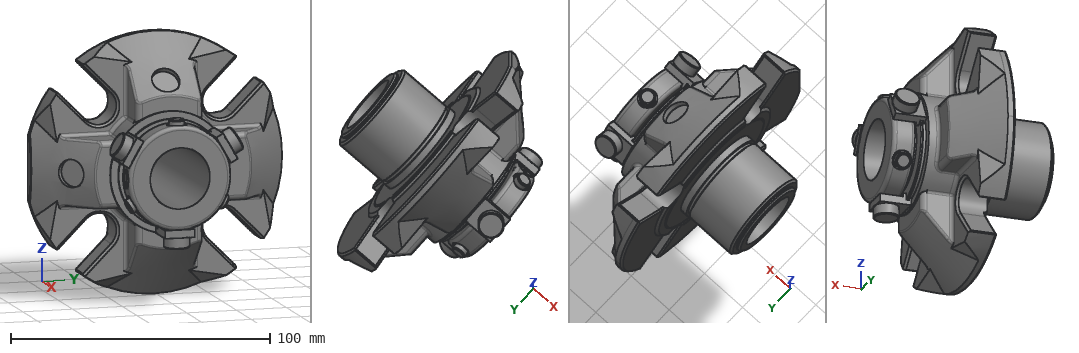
import cadquery as cq
import math


bore_d = 24.0
sleeve_nose_d = 32.18
sleeve_nose_len = 1.5
nose_chamfer = 0.8
sleeve_d = 37.97
sleeve_end_x = 23.4
sleeve_chamfer = 0.9
neck_d = 36.17
neck_end_x = 24.9
shoulder_d = 38.61

face_x = 27.8
face_disc_d = 54.97
gasket_inner_d = 56.2
gasket_x = 28.05
gasket_d = 63.0
gasket_base_d = 65.5
flange_back_x = 29.05
flange_d = 103.12
flange_r = flange_d / 2
rim_chamfer = 0.8
cone_start_x = 32.25
pad_x = 40.8
flat_y = -50.0
flat_front_chamfer = 0.4

slot_width = 14.3
slot_offset_angle = 45
slot_center_r = (face_disc_d + slot_width) / 2
slot_back_chamfer = 0.7
slot_front_chamfer = 1.0
slot_rim_chamfer = 0.5

relief_tilt = 10.3
relief_start_r = 43.84
relief_end_r = 38.72
relief_slope = (relief_start_r - relief_end_r) / (pad_x - cone_start_x)

hub_d = 48.0
hub_end_x = 54.5
lobe_half_width = 13.4
lobe_end_x = 53.8
lobe_angles = (0, 90, 180, -90)
short_lobe_end_x = 50.1
short_lobe_angle = -90
lobe_front_fillet = 2.3
lobe_edge_fillet = 1.1
root_fillet = 1.3
base_fillet = 1.5
port_d = 11.0
port_depth = 2.2
top_port_x = 48.7
front_port_x = 46.4
front_port_angle = 90

spigot_d = 41.6
spigot_end_x = 55.95
snap_ring_d = 42.75
snap_ring_end_x = 56.8
seal_ring_d = 32.91
seal_ring_end_x = 58.05
inner_sleeve_d = 25.98
collar_start_x = 58.5
collar_end_x = 68.0
collar_d = 41.22
collar_fillet = 1.6

clip_angles = (60, -60, 180)
clip_width = 11.8
clip_start_x = 55.1
clip_end_x = 67.9
clip_inner_r = 20.24
clip_outer_r = 23.4
hook_inner_r = 18.84
hook_start_x = 57.1
hook_end_x = 58.4
clip_groove_r = 21.4
bolt_d = 10.0
bolt_x = 63.2
bolt_top_r = 27.8
bolt_chamfer = 0.4

screw_angles = (0, 120, -120)
locking_screw_angle = 90
screw_x = 63.3
screw_d = 6.0
screw_pocket_d = 7.6
screw_pocket_r = 19.6
screw_top_r = 22.5
screw_chamfer = 0.5
locking_screw_top_r = 20.2
driver_slot_width = 0.95
driver_slot_depth = 0.6

reach = 2 * flange_r
margin = 1.0
tolerance = 1e-3


def about_axis(shape, angle):
    return shape.rotate((0, 0, 0), (1, 0, 0), angle)


def turned(points):
    """Revolve an (x, radius) outline about the shaft axis."""
    return cq.Workplane("XY").polyline(points).close().revolve(360, (0, 0, 0), (1, 0, 0))


def ring(diameter, x_start, x_end):
    return cq.Workplane("YZ").workplane(offset=x_start).circle(diameter / 2).extrude(x_end - x_start)


def block(x_start, x_end, width, r_inner, r_outer):
    size = (x_end - x_start, width, r_outer - r_inner)
    return cq.Workplane("XY").box(*size, centered=(False, True, False)).translate((x_start, 0, r_inner))


def radial_pin(x, diameter, r_inner, r_outer):
    base = cq.Workplane("XY").workplane(offset=r_inner).center(x, 0)
    return base.circle(diameter / 2).extrude(r_outer - r_inner)


def cone_radius(x):
    """Radius of the 45 degree cone at x."""
    return flange_r + cone_start_x - x


def make_sleeve():
    """Sleeve, shoulder and the stepped gasket face on the back of the flange."""
    nose_r = sleeve_nose_d / 2
    sleeve_r = sleeve_d / 2
    return turned([
        (0, 0),
        (0, nose_r - nose_chamfer),
        (nose_chamfer, nose_r),
        (sleeve_nose_len, nose_r),
        (sleeve_nose_len, sleeve_r - sleeve_chamfer),
        (sleeve_nose_len + sleeve_chamfer, sleeve_r),
        (sleeve_end_x, sleeve_r),
        (sleeve_end_x, neck_d / 2),
        (neck_end_x, neck_d / 2),
        (neck_end_x, shoulder_d / 2),
        (face_x, shoulder_d / 2),
        (face_x, face_disc_d / 2),
        (gasket_x, gasket_inner_d / 2),
        (gasket_x, gasket_d / 2),
        (flange_back_x, gasket_base_d / 2),
        (flange_back_x, 0),
    ])


def make_cone_stock():
    """Flange disc and full 45 degree cone from which the lobes are cut."""
    return turned([
        (flange_back_x, 0),
        (flange_back_x, flange_r - rim_chamfer),
        (flange_back_x + rim_chamfer, flange_r),
        (cone_start_x, flange_r),
        (lobe_end_x, cone_radius(lobe_end_x)),
        (lobe_end_x, 0),
    ])


def make_ears():
    """Flange rim beside the slots, bounded by two tilted relief planes per lobe."""
    start_x = cone_start_x - margin
    end_x = pad_x + margin
    above_plane = (
        cq.Workplane("XZ")
        .polyline([
            (start_x, relief_start_r + relief_slope * margin),
            (end_x, relief_end_r - relief_slope * margin),
            (end_x, reach),
            (start_x, reach),
        ])
        .close()
        .extrude(reach, both=True)
    )
    relief = about_axis(above_plane, relief_tilt).intersect(about_axis(above_plane, -relief_tilt))
    ears = ring(flange_d, cone_start_x, pad_x)
    for angle in lobe_angles:
        ears = ears.cut(about_axis(relief, angle))
    return ears


def make_lobe_gap():
    """Cutter for the space between two lobes, rounded where it meets the hub and flange."""
    gap = (
        cq.Workplane("XY").box(reach, reach, reach, centered=False)
        .translate((pad_x, lobe_half_width, lobe_half_width))
        .cut(ring(hub_d, pad_x, pad_x + reach))
    )
    near_hub = cq.selectors.BoxSelector((pad_x, 0, 0), (pad_x + reach, hub_d / 2, hub_d / 2))
    gap = gap.edges("|X").edges(near_hub).fillet(root_fillet)
    near_lobes = cq.selectors.BoxSelector((pad_x - margin, 0, 0), (pad_x + margin, reach, reach))
    return gap.faces("<X").edges(near_lobes).fillet(base_fillet)


def make_lobe_front_cut(end_x):
    """Cutter that ends a lobe at end_x, outside the hub, and rounds its two front edges.

    Where the hub stands far enough ahead of the lobe, the corner at the hub is filleted too.
    """
    start_x = end_x - lobe_front_fillet
    width = 2 * lobe_half_width
    cutter = block(start_x, hub_end_x, width + 2 * root_fillet, 0, reach)
    kept = block(start_x - lobe_front_fillet, end_x, width, 0, reach)
    kept = kept.faces(">X").edges("|Z").fillet(lobe_front_fillet)
    cutter = cutter.cut(kept).cut(ring(hub_d, start_x, hub_end_x))
    if hub_end_x - end_x > root_fillet:
        low = (end_x - tolerance, -hub_d, 0)
        high = (end_x + tolerance, hub_d, hub_d / 2 + tolerance)
        foot = cq.selectors.BoxSelector(low, high)
        cutter = cutter.edges(foot).edges("%CIRCLE").fillet(root_fillet)
    return cutter


def is_cone_edge(edge):
    """True for the curved edges between the lobe walls and the cone."""
    middle = edge.positionAt(0.5)
    offset = min(abs(middle.y), abs(middle.z))
    box = edge.BoundingBox()
    on_wall = math.isclose(offset, lobe_half_width, abs_tol=tolerance)
    outside_hub = math.hypot(middle.y, middle.z) > hub_d / 2 + base_fillet
    return on_wall and outside_hub and box.xlen > 2 * lobe_front_fillet and edge.geomType() != "LINE"


def frustum(x_start, x_end, r_start, r_end):
    """Cone cutter about an axis parallel to X through the center of a slot's round end."""
    cone = turned([(x_start, 0), (x_start, r_start), (x_end, r_end), (x_end, 0)])
    return cone.translate((0, 0, slot_center_r))


def make_slot_end_chamfers():
    half = slot_width / 2
    back_x = flange_back_x + slot_back_chamfer
    back = frustum(flange_back_x, back_x, half + slot_back_chamfer, half)
    back = back.cut(ring(gasket_base_d, flange_back_x, back_x))
    front = frustum(pad_x - slot_front_chamfer, pad_x, half, half + slot_front_chamfer)
    return back.union(front)


def make_slot():
    """Round-ended bolt slot with chamfered back, front and rim edges."""
    slot = block(face_x, pad_x, slot_width, slot_center_r, reach)
    slot_end = cq.Workplane("YZ").workplane(offset=face_x).center(0, slot_center_r)
    slot = slot.union(slot_end.circle(slot_width / 2).extrude(pad_x - face_x))
    half = slot_width / 2
    flare = (
        cq.Workplane("XY").workplane(offset=slot_center_r)
        .polyline([
            (flange_back_x, -half - slot_back_chamfer),
            (flange_back_x + slot_back_chamfer, -half),
            (pad_x - slot_front_chamfer, -half),
            (pad_x, -half - slot_front_chamfer),
            (pad_x, half + slot_front_chamfer),
            (pad_x - slot_front_chamfer, half),
            (flange_back_x + slot_back_chamfer, half),
            (flange_back_x, half + slot_back_chamfer),
        ])
        .close()
        .extrude(reach)
    )
    corner_r = math.sqrt(flange_r ** 2 - half ** 2)
    rim_flare = (
        cq.Workplane("YZ").workplane(offset=flange_back_x)
        .polyline([
            (-half, corner_r - slot_rim_chamfer),
            (half, corner_r - slot_rim_chamfer),
            (half + 2 * slot_rim_chamfer, corner_r + slot_rim_chamfer),
            (-half - 2 * slot_rim_chamfer, corner_r + slot_rim_chamfer),
        ])
        .close()
        .extrude(pad_x - flange_back_x)
    )
    return slot.union(flare).union(rim_flare).union(make_slot_end_chamfers())


def make_port(x):
    """Shallow round port square to the cone of the +Z lobe."""
    outward = cq.Vector(1, 0, 1).normalized()
    mouth = cq.Vector(x, 0, cone_radius(x))
    floor = mouth - outward * port_depth
    return cq.Workplane(cq.Plane(floor, (0, 1, 0), outward)).circle(port_d / 2).extrude(port_d)


def make_rim_flat():
    """Cutter for the flat on the -Y rim, with the rim chamfer along its back edge."""
    return (
        cq.Workplane("XY")
        .polyline([
            (flange_back_x, flat_y + rim_chamfer),
            (flange_back_x + rim_chamfer, flat_y),
            (pad_x, flat_y),
            (pad_x, -reach),
            (flange_back_x, -reach),
        ])
        .close()
        .extrude(reach, both=True)
    )


def is_flat_front_edge(edge):
    """True for the curved edge between the rim flat and the cone."""
    on_flat = math.isclose(edge.positionAt(0.5).y, flat_y, abs_tol=tolerance)
    return on_flat and edge.geomType() != "LINE"


def make_gland():
    gland = make_cone_stock()
    gap = make_lobe_gap()
    for angle in lobe_angles:
        gland = gland.cut(about_axis(gap, angle))
    for angle in lobe_angles:
        end_x = short_lobe_end_x if angle == short_lobe_angle else lobe_end_x
        gland = gland.cut(about_axis(make_lobe_front_cut(end_x), angle))
    gland = gland.edges().filter(is_cone_edge).fillet(lobe_edge_fillet)
    gland = gland.union(make_ears())
    gland = gland.union(make_sleeve())
    gland = gland.union(ring(hub_d, lobe_end_x, hub_end_x))
    slot = make_slot()
    for angle in lobe_angles:
        gland = gland.cut(about_axis(slot, angle + slot_offset_angle))
    gland = gland.cut(make_rim_flat())
    gland = gland.edges().filter(is_flat_front_edge).chamfer(flat_front_chamfer)
    gland = gland.cut(make_port(top_port_x))
    return gland.cut(about_axis(make_port(front_port_x), front_port_angle))


def make_collar():
    collar = ring(collar_d, collar_start_x, collar_end_x).edges().fillet(collar_fillet)
    pocket = radial_pin(screw_x, screw_pocket_d, screw_pocket_r, reach)
    screw = radial_pin(screw_x, screw_d, bore_d / 2, screw_top_r).faces(">Z").chamfer(screw_chamfer)
    for angle in screw_angles:
        collar = collar.cut(about_axis(pocket, angle)).union(about_axis(screw, angle))
    locking_screw = radial_pin(screw_x, screw_d, bore_d / 2, locking_screw_top_r)
    driver_slot = block(
        screw_x - driver_slot_width / 2, screw_x + driver_slot_width / 2,
        screw_d, locking_screw_top_r - driver_slot_depth, locking_screw_top_r)
    locking_screw = locking_screw.cut(driver_slot)
    collar = collar.cut(about_axis(pocket, locking_screw_angle))
    return collar.union(about_axis(locking_screw, locking_screw_angle))


def make_clip():
    """Setting clip with a hook behind the snap ring and a round bolt head on top."""
    clip = block(clip_start_x, clip_end_x, clip_width, clip_inner_r, clip_outer_r)
    clip = clip.union(block(hook_start_x, hook_end_x, clip_width, hook_inner_r, clip_outer_r))
    clip = clip.cut(block(spigot_end_x, hook_start_x, clip_width, clip_inner_r, clip_groove_r))
    head = radial_pin(bolt_x, bolt_d, clip_outer_r, bolt_top_r).faces(">Z").edges().chamfer(bolt_chamfer)
    return clip.union(head)


result = make_gland()
result = result.union(ring(spigot_d, pad_x, spigot_end_x))
result = result.union(ring(snap_ring_d, spigot_end_x, snap_ring_end_x))
result = result.union(ring(seal_ring_d, snap_ring_end_x, seal_ring_end_x))
result = result.union(ring(inner_sleeve_d, seal_ring_end_x, collar_start_x))
result = result.union(make_collar())
for clip_angle in clip_angles:
    result = result.union(about_axis(make_clip(), clip_angle))
result = result.cut(ring(bore_d, 0, collar_end_x))